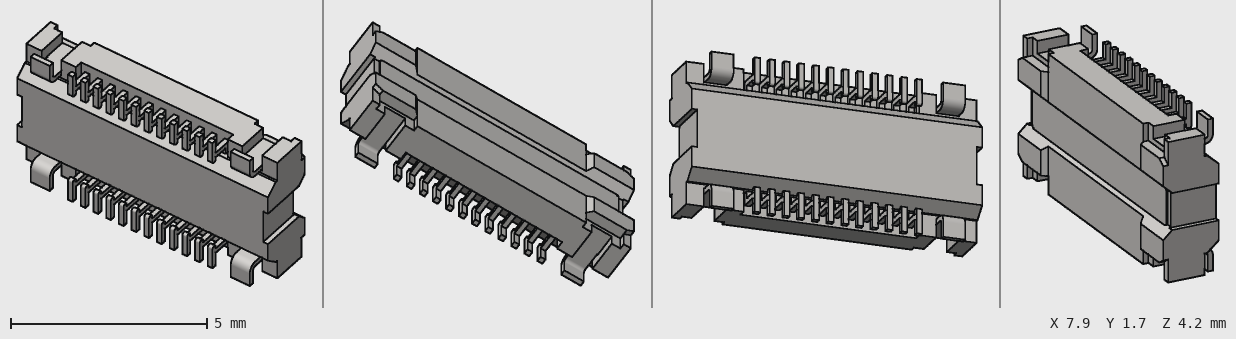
import cadquery as cq


housing_length = 7.9
housing_half_height = 1.94
front_depth = 0.1
shoulder_depth = 0.505
back_depth = 1.555
ridge_depth = 1.7
shoulder_height = 1.345
front_bevel_depth = 0.435
front_bevel_height = 1.06

channel_depth = 1.41
channel_half_height = 0.48
channel_bevel_height = 0.744

plateau_depth = 1.455
plateau_length = 7.3
plateau_half_height = 0.52
plateau_corner_radius = 0.09

seat_height = 1.44
ridge_inner_x = 2.58
ridge_inner_bevel = ridge_depth - back_depth
ridge_outer_drop = 0.14
end_wall_x = 3.73
tee_depth = 1.4

notch_inset = 0.15
notch_height = 1.02

pin_count = 12
pin_pitch = 0.4
pin_width = 0.15
sheet = 0.15
foot_tip_height = 2.1
pin_stem_top = 1.68
pin_foot_bottom = 1.41
pin_tip_radius = 0.055
recess_length = 4.78
recess_depth = 0.735
rib_depth = 0.57

slot_inner_x = 2.85
slot_outer_x = 3.47
holddown_width = 0.6
holddown_bend_radius = 0.24


def box(x_range, y_range, z_range):
    """Box spanning the given (low, high) ranges."""
    sizes = [high - low for low, high in (x_range, y_range, z_range)]
    corner = (x_range[0], y_range[0], z_range[0])
    return cq.Workplane("XY").box(*sizes, centered=False).translate(corner)


def extrude_along_x(profile, x_low, x_high):
    """Extrude a closed YZ profile from x_low to x_high."""
    return profile.extrude(x_high - x_low).translate((x_low, 0, 0))


def mirror_x(solid):
    """Add the copy mirrored to the other end of X."""
    return solid.union(solid.mirror("YZ"))


def mirror_z(solid):
    """Add the copy mirrored to the other end of Z."""
    return solid.union(solid.mirror("XY"))


def make_ridge():
    """Upper left ridge on the back of the housing, bevelled at its inner end and sloped at its outer end."""
    half_length = housing_length / 2
    outline = (
        cq.Workplane("XZ")
        .polyline([
            (-half_length, 0),
            (-half_length, seat_height - ridge_outer_drop),
            (-end_wall_x, seat_height),
            (-ridge_inner_x, seat_height),
            (-ridge_inner_x, 0),
        ])
        .close()
        .extrude(-ridge_depth)
    )
    behind_front = box((-half_length, 0), (tee_depth, ridge_depth), (0, seat_height))
    inner_bevel = (
        cq.Workplane("XY")
        .polyline([
            (-ridge_inner_x - ridge_inner_bevel, ridge_depth),
            (-ridge_inner_x, ridge_depth),
            (-ridge_inner_x, back_depth),
        ])
        .close()
        .extrude(seat_height)
    )
    return outline.intersect(behind_front).cut(inner_bevel)


def make_channel():
    """Tapered channel running the full length of the back."""
    profile = (
        cq.Workplane("YZ")
        .polyline([
            (channel_depth, -channel_half_height),
            (ridge_depth, -channel_bevel_height),
            (ridge_depth, channel_bevel_height),
            (channel_depth, channel_half_height),
        ])
        .close()
    )
    return extrude_along_x(profile, -housing_length / 2, housing_length / 2)


def make_plateau():
    """Low plateau on the channel floor, with rounded corners."""
    return (
        cq.Workplane("XY")
        .box(plateau_length, plateau_depth - tee_depth, 2 * plateau_half_height)
        .edges("|Y")
        .fillet(plateau_corner_radius)
        .translate((0, (plateau_depth + tee_depth) / 2, 0))
    )


def make_slot():
    """T-shaped slot for the upper left hold-down: a narrow stem widening towards the back."""
    height_range = (seat_height, housing_half_height)
    stem = box((-slot_outer_x, -slot_inner_x), (shoulder_depth, tee_depth), height_range)
    tee = box((-end_wall_x, -ridge_inner_x), (tee_depth, back_depth), height_range)
    return stem.union(tee)


def make_housing():
    """Moulded body with its ridges, back channel, end notches, terminal recesses and hold-down slots."""
    half_length = housing_length / 2
    front_profile = (
        cq.Workplane("YZ")
        .polyline([
            (front_depth, 0),
            (front_depth, front_bevel_height),
            (front_bevel_depth, shoulder_height),
            (shoulder_depth, shoulder_height),
            (shoulder_depth, housing_half_height),
            (back_depth, housing_half_height),
            (back_depth, 0),
        ])
        .close()
    )
    housing = mirror_z(extrude_along_x(front_profile, -half_length, half_length))
    housing = housing.union(mirror_z(mirror_x(make_ridge())))
    housing = housing.cut(make_channel()).union(make_plateau())

    notch = box(
        (-half_length, -half_length + notch_inset),
        (0, ridge_depth),
        (-notch_height / 2, notch_height / 2),
    )
    recess = box(
        (-recess_length / 2, recess_length / 2),
        (shoulder_depth, recess_depth),
        (shoulder_height, housing_half_height),
    )
    return housing.cut(mirror_x(notch)).cut(mirror_z(recess)).cut(mirror_z(mirror_x(make_slot())))


def make_holddown():
    """Upper left hold-down: a strip lying in its slot and bent upwards into a foot."""
    strip_top = seat_height + sheet
    profile = (
        cq.Workplane("YZ")
        .moveTo(tee_depth, seat_height)
        .lineTo(holddown_bend_radius, seat_height)
        .radiusArc((0, seat_height + holddown_bend_radius), holddown_bend_radius)
        .lineTo(0, foot_tip_height)
        .lineTo(sheet, foot_tip_height)
        .lineTo(sheet, seat_height + holddown_bend_radius)
        .radiusArc((holddown_bend_radius, strip_top), -(holddown_bend_radius - sheet))
        .lineTo(tee_depth, strip_top)
        .close()
    )
    strip = extrude_along_x(profile, -slot_inner_x - holddown_width, -slot_inner_x)
    filler = box((-slot_outer_x, -slot_inner_x), (recess_depth, tee_depth), (seat_height, strip_top))
    return strip.union(filler)


def make_pin():
    """Upper terminal at X = 0: a stem out of the housing ending in an upright foot with a rounded lower end.

    Inside the recess the stem rests on a rib of its own width.
    """
    x_range = (-pin_width / 2, pin_width / 2)
    foot = box(x_range, (0, sheet), (pin_foot_bottom, foot_tip_height))
    foot = foot.edges("|X and <Z").fillet(pin_tip_radius)
    stem = box(x_range, (sheet, recess_depth), (pin_stem_top - sheet, pin_stem_top))
    rib = box(x_range, (rib_depth, recess_depth), (shoulder_height, pin_stem_top - sheet))
    return foot.union(stem).union(rib)


result = make_housing().union(mirror_z(mirror_x(make_holddown())))
pin_pair = mirror_z(make_pin())
for index in range(pin_count):
    pin_x = (index - (pin_count - 1) / 2) * pin_pitch
    result = result.union(pin_pair.translate((pin_x, 0, 0)))